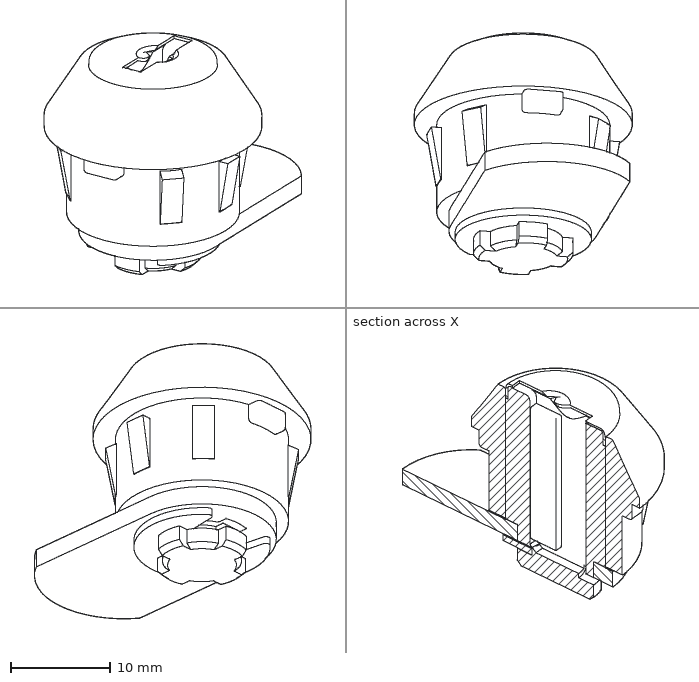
import cadquery as cq
import math

EPS = 0.3

FLANGE_R = 11.0
FLANGE_RIM_H = 1.27
CONE_TOP_R = 7.5
HOUSING_TOP = 6.98
FLANGE_EDGE_FILLET = 0.25
BODY_R = 8.75
BODY_BOTTOM = -9.42
BORE_R = 6.5
BORE_EDGE_FILLET = 0.25

NUB_W = 4.03
NUB_REACH = 10.0
NUB_H = 2.0
NUB_FILLET = 0.45
NUB_LOWER_FILLET = 0.4

WEDGE_W = 2.23
WEDGE_TIP_R = 9.73
WEDGE_ROOT_R = 8.77
WEDGE_INNER_R = 7.45
WEDGE_BOTTOM = -6.98
WEDGES = [
    (0, -1.43, 0),
    (45, -1.43, 0.53),
    (135, -1.67, 0.45),
    (180, -1.43, 0),
    (225, -1.43, 0.53),
    (315, -1.67, 0.45),
]

CAP_R = 6.48
CAP_TOP = 7.65
CAP_SHEET = 0.3
CAP_SKIRT_H = 2.0
CAP_FILLET = 0.6
CAP_SLOT_HALF_W = 1.1
CAP_SLOT_Y_MIN = -3.95
CAP_SLOT_Y_MAX = 5.58
DIMPLE_R = 2.15
DIMPLE_DEPTH = 1.25
DIMPLE_Y = (CAP_SLOT_Y_MIN + CAP_SLOT_Y_MAX) / 2

PLUG_TOP = CAP_TOP - CAP_SHEET
CAP_SEAT = CAP_TOP - CAP_SKIRT_H
SHOULDER = -9.52
PLUG_END = -14.45
SHANK_R = 4.0
ARM_R = 5.02
ARM_W = 2.95
END_CHAMFER = 0.53
NECK_R = 3.07
POCKET_Y = -0.85
POCKET_TOP_R = 2.55
POCKET_MID_R = 1.43
POCKET_MID_DEPTH = 0.93
POCKET_FLOOR_R = 1.02
POCKET_DEPTH = 1.27

KEY_HALF_W = 1.0
KEY_Y_MIN = CAP_SLOT_Y_MIN
KEY_Y_MAX = 3.32
KEY_FLOOR = -11.85
KEY_LIP_R = 0.53
KEY_RAMP_RUN = 0.8
KEY_RAMP_RISE = 0.68
WARD_X_MIN = 0.1
WARD_Y_MIN = 0.0
WARD_TOP = CAP_TOP - 1.75
WARD_BOTTOM = KEY_FLOOR + 2 * KEY_RAMP_RISE
WARD_FILLET = 0.22

CAM_T = 1.98
CAM_TOP = SHOULDER
CAM_BOTTOM = CAM_TOP - CAM_T
CAM_HALF_W = 7.5
CAM_CORNER_Y = 16.0
CAM_TIP_Y = 20.0

CLIP_R = 6.88
CLIP_TOP = -11.6
CLIP_BOTTOM = -12.37
CLIP_MOUTH_HALF_W = 4.05
CLIP_TIP_FILLET = 0.43


def block(x_min, x_max, y_min, y_max, z_min, z_max):
    """Box between two opposite corners."""
    size = (x_max - x_min, y_max - y_min, z_max - z_min)
    return cq.Workplane("XY").box(*size, centered=False).translate((x_min, y_min, z_min))


def disc(radius, z_min, z_max):
    """Cylinder on the lock axis."""
    return cq.Workplane("XY").workplane(offset=z_min).circle(radius).extrude(z_max - z_min)


def turned(points):
    """Solid turned about the Z axis from (radius, Z) points."""
    return cq.Workplane("XZ").polyline(points).close().revolve(360, (0, 0, 0), (0, 1, 0))


def nub():
    """Nub at -Y, rounded on its outer and lower edges."""
    bar = block(-NUB_W / 2, NUB_W / 2, -NUB_REACH, -BORE_R - EPS, -NUB_H, EPS)
    bar = bar.edges("|Z and <Y").fillet(NUB_FILLET)
    return bar.faces("<Z").edges("not >Y").fillet(NUB_LOWER_FILLET)


def wedge(angle, tip_z, rise):
    """Snap wedge that grows outwards from its lower end to its tip."""
    slope = rise / (WEDGE_TIP_R - WEDGE_ROOT_R)
    inner_z = tip_z + slope * (WEDGE_TIP_R - WEDGE_INNER_R)
    profile = [
        (WEDGE_INNER_R, WEDGE_BOTTOM),
        (WEDGE_ROOT_R, WEDGE_BOTTOM),
        (WEDGE_TIP_R, tip_z),
        (WEDGE_INNER_R, inner_z),
    ]
    solid = cq.Workplane("XZ").polyline(profile).close().extrude(WEDGE_W / 2, both=True)
    return solid.rotate((0, 0, 0), (0, 0, 1), angle)


def make_housing():
    head = turned([
        (0, 0),
        (FLANGE_R, 0),
        (FLANGE_R, FLANGE_RIM_H),
        (CONE_TOP_R, HOUSING_TOP),
        (0, HOUSING_TOP),
    ])
    head = head.faces(">Z").edges().fillet(FLANGE_EDGE_FILLET)
    rim = head.edges("%CIRCLE").edges(cq.selectors.RadiusNthSelector(-1)).edges(">Z")
    head = rim.fillet(FLANGE_EDGE_FILLET)
    housing = head.union(disc(BODY_R, BODY_BOTTOM, EPS))
    for angle in (0, 180):
        housing = housing.union(nub().rotate((0, 0, 0), (0, 0, 1), angle))
    for angle, tip_z, rise in WEDGES:
        housing = housing.union(wedge(angle, tip_z, rise))
    housing = housing.cut(disc(BORE_R, BODY_BOTTOM - EPS, HOUSING_TOP + EPS))
    bore_edge = housing.faces(">Z").edges("%CIRCLE").edges(cq.selectors.RadiusNthSelector(0))
    return bore_edge.fillet(BORE_EDGE_FILLET)


def make_cap(plug):
    cap = disc(CAP_R, CAP_SEAT, CAP_TOP).faces(">Z").edges().fillet(CAP_FILLET)
    inside = disc(CAP_R - CAP_SHEET, CAP_SEAT - EPS, PLUG_TOP)
    inside = inside.faces(">Z").edges().fillet(CAP_FILLET - CAP_SHEET)
    cap = cap.cut(inside)
    apex = CAP_TOP - DIMPLE_DEPTH
    drop = CAP_SHEET * math.hypot(DIMPLE_R, DIMPLE_DEPTH) / DIMPLE_R
    under_r = DIMPLE_R * (1 + (drop - CAP_SHEET) / DIMPLE_DEPTH)
    dent = turned([(0, CAP_TOP), (DIMPLE_R, CAP_TOP), (0, apex)])
    bulge = turned([(0, CAP_TOP), (under_r, CAP_TOP), (under_r, PLUG_TOP), (0, apex - drop)])
    cap = cap.union(bulge.translate((0, DIMPLE_Y, 0))).cut(dent.translate((0, DIMPLE_Y, 0)))
    slot = block(
        -CAP_SLOT_HALF_W, CAP_SLOT_HALF_W, CAP_SLOT_Y_MIN, CAP_SLOT_Y_MAX, CAP_SEAT, CAP_TOP + EPS
    )
    return cap.cut(slot).cut(plug)


def shank(chamfered):
    """Cross-shaped lower end of the plug: a round core with four arms."""
    core = disc(SHANK_R, PLUG_END, SHOULDER)
    tips = disc(ARM_R, PLUG_END, SHOULDER)
    if chamfered:
        core = core.faces("<Z").edges().chamfer(END_CHAMFER)
        tips = tips.faces("<Z").edges().chamfer(END_CHAMFER)
    half = ARM_W / 2
    reach = ARM_R + EPS
    cross = block(-reach, reach, -half, half, PLUG_END, SHOULDER)
    cross = cross.union(block(-half, half, -reach, reach, PLUG_END, SHOULDER))
    return core.union(tips.intersect(cross))


def keyway():
    """Key slot with a rounded lip and a floor ramp at its +Y end, less the ward on its +X wall."""
    slot = (
        cq.Workplane("YZ")
        .moveTo(KEY_Y_MIN, KEY_FLOOR)
        .lineTo(KEY_Y_MAX - KEY_RAMP_RUN, KEY_FLOOR)
        .lineTo(KEY_Y_MAX, KEY_FLOOR + KEY_RAMP_RISE)
        .lineTo(KEY_Y_MAX, PLUG_TOP - KEY_LIP_R)
        .radiusArc((KEY_Y_MAX + KEY_LIP_R, PLUG_TOP), KEY_LIP_R)
        .lineTo(KEY_Y_MIN, PLUG_TOP)
        .close()
        .extrude(KEY_HALF_W, both=True)
    )
    ward = block(WARD_X_MIN, KEY_HALF_W + EPS, WARD_Y_MIN, KEY_Y_MAX + EPS, WARD_BOTTOM, WARD_TOP)
    ward = ward.faces(">Z").edges("<X or <Y").fillet(WARD_FILLET)
    return slot.cut(ward)


def make_plug():
    plug = disc(BORE_R, SHOULDER, CAP_SEAT)
    head = disc(CAP_R - CAP_SHEET, CAP_SEAT, PLUG_TOP)
    head = head.faces(">Z").edges().fillet(CAP_FILLET - CAP_SHEET)
    plug = plug.union(head).union(shank(chamfered=True))
    groove = disc(ARM_R + EPS, CLIP_BOTTOM, CAM_BOTTOM).cut(disc(NECK_R, CLIP_BOTTOM, CAM_BOTTOM))
    pocket = turned([
        (0, PLUG_TOP),
        (POCKET_TOP_R, PLUG_TOP),
        (POCKET_MID_R, PLUG_TOP - POCKET_MID_DEPTH),
        (POCKET_FLOOR_R, PLUG_TOP - POCKET_DEPTH),
        (0, PLUG_TOP - POCKET_DEPTH),
    ])
    return plug.cut(groove).cut(pocket.translate((0, POCKET_Y, 0))).cut(keyway())


def make_cam():
    cam = (
        cq.Workplane("XY")
        .workplane(offset=CAM_BOTTOM)
        .moveTo(CAM_HALF_W, 0)
        .lineTo(CAM_HALF_W, CAM_CORNER_Y)
        .threePointArc((0, CAM_TIP_Y), (-CAM_HALF_W, CAM_CORNER_Y))
        .lineTo(-CAM_HALF_W, 0)
        .threePointArc((0, -CAM_HALF_W), (CAM_HALF_W, 0))
        .close()
        .extrude(CAM_T)
    )
    return cam.cut(shank(chamfered=False))


def make_clip():
    clip = disc(CLIP_R, CLIP_BOTTOM, CLIP_TOP)
    height = CLIP_TOP - CLIP_BOTTOM
    mouth = [
        (-NECK_R, 0),
        (-CLIP_MOUTH_HALF_W, -CLIP_R),
        (CLIP_MOUTH_HALF_W, -CLIP_R),
        (NECK_R, 0),
    ]
    opening = cq.Workplane("XY").workplane(offset=CLIP_BOTTOM).polyline(mouth).close().extrude(height)
    clip = clip.cut(opening)
    clip = clip.edges("|Z and <Y").fillet(CLIP_TIP_FILLET)
    return clip.cut(disc(NECK_R, CLIP_BOTTOM, CLIP_TOP))


housing = make_housing()
plug = make_plug()
cap = make_cap(plug)
cam = make_cam()
clip = make_clip()

result = cq.Compound.makeCompound([housing.val(), cap.val(), plug.val(), cam.val(), clip.val()])